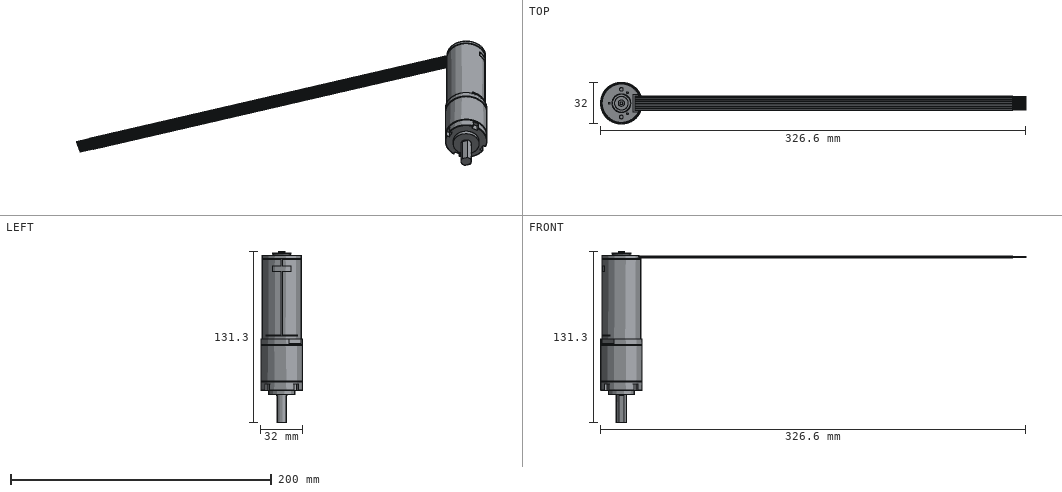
import cadquery as cq
import math


cut_clearance = 1.0

gearhead_radius = 16.0
gearhead_length = 39.7
pilot_radius = 10.0
pilot_height = 3.1
flange_height = 6.9
flange_chamfer = 0.4
adapter_height = 4.5
joint_groove_height = 0.7
joint_groove_depth = 0.2
notch_width = 4.6
notch_depth = 2.5
notch_height = 5.2
notch_angles = (45, 135, 225, 315)
spanner_flat_width = 13.0
spanner_flat_height = 3.6
spanner_flat_angle = 225

shaft_radius = 4.0
shaft_tip_z = -24.6
shaft_round_length = 0.8
shaft_across_flats = 7.0

motor_radius = 15.0
motor_length = 64.1
motor_bottom_z = gearhead_length
motor_top_z = motor_bottom_z + motor_length
cap_thickness = 2.5
can_groove_height = 0.5
cap_bottom_z = motor_top_z - cap_thickness
can_mark_depth = 0.2
can_seam_width = 1.0
can_seam_inset = 2.4
can_seam_bottom_z = motor_bottom_z + can_seam_inset
can_pocket_width = 14.5
can_pocket_height = 4.2
can_pocket_drop = 10.1
can_pocket_z = motor_top_z - can_pocket_drop
can_joint_width = 24.0

boss_radius = 7.2
boss_height = 1.9
boss_recess_radius = 5.2
boss_recess_depth = 0.6
boss_neck_radius = 6.7
boss_rim_height = 0.8
hub_radius = 2.4
hub_height = 2.9
hub_bore_radius = 1.1
hub_bore_depth = 1.0

screw_hole_radius = 1.4
screw_hole_offset = 10.6
pin_hole_radius = 0.7
pin_circle_radius = 9.3
pin_hole_angles = (60, 180, 300)
rear_hole_depth = 2.0

overall_length = 326.6
cable_end_x = overall_length - gearhead_radius
cable_start_x = 10.4
cable_width = 10.9
cable_web_thickness = 0.6
wire_count = 8
wire_diameter = 1.3
wire_pitch = (cable_width - wire_diameter) / (wire_count - 1)
bare_wire_length = 10.5
sleeve_end_x = cable_end_x - bare_wire_length
bare_wire_radius = 0.4
cable_sink = 0.1
cable_slot_depth = 1.8
cable_slot_z = motor_top_z - cable_slot_depth
cable_axis_z = cable_slot_z + wire_diameter / 2 - cable_sink
cable_slot_x = 8.9
cable_slot_width = 13.4


def disc(radius, bottom_z, height):
    """Solid cylinder on the Z axis."""
    return cq.Workplane("XY").workplane(offset=bottom_z).circle(radius).extrude(height)


def block(x_min, x_max, width, z_min, z_max):
    """Box centred on the XZ plane."""
    size = (x_max - x_min, width, z_max - z_min)
    return cq.Workplane("XY").box(*size).translate(((x_min + x_max) / 2, 0, (z_min + z_max) / 2))


def ring_groove(radius, depth, bottom_z, height):
    """Cutter for a groove round a cylinder."""
    cutter = disc(radius + depth, bottom_z, height)
    return cutter.cut(disc(radius - depth, bottom_z, height))


def about_axis(body, angle):
    return body.rotate((0, 0, 0), (0, 0, 1), angle)


def build_shaft():
    """Round shaft with two flats facing -Y and +Y."""
    shaft = disc(shaft_radius, shaft_tip_z, -pilot_height - shaft_tip_z)
    flats_top_z = -pilot_height - shaft_round_length
    round_part = disc(shaft_radius, flats_top_z, shaft_round_length)
    flatted_part = shaft.intersect(
        block(-shaft_radius, shaft_radius, shaft_across_flats, shaft_tip_z, flats_top_z)
    )
    return round_part.union(flatted_part)


def build_gearhead():
    gearhead = disc(gearhead_radius, 0, gearhead_length).faces("<Z").chamfer(flange_chamfer)
    gearhead = gearhead.union(disc(pilot_radius, -pilot_height, pilot_height))
    gearhead = gearhead.union(build_shaft())

    adapter_bottom_z = gearhead_length - adapter_height
    for groove_z in (flange_height, adapter_bottom_z):
        groove_bottom_z = groove_z - joint_groove_height / 2
        gearhead = gearhead.cut(
            ring_groove(gearhead_radius, joint_groove_depth, groove_bottom_z, joint_groove_height)
        )

    notch = block(gearhead_radius - notch_depth, gearhead_radius + cut_clearance, notch_width, 0, notch_height)
    for angle in notch_angles:
        gearhead = gearhead.cut(about_axis(notch, angle))

    flat_distance = math.sqrt(gearhead_radius**2 - (spanner_flat_width / 2) ** 2)
    spanner_flat = block(
        flat_distance,
        gearhead_radius + cut_clearance,
        2 * gearhead_radius,
        gearhead_length - spanner_flat_height,
        gearhead_length,
    )
    return gearhead.cut(about_axis(spanner_flat, spanner_flat_angle))


def cut_can_marks(motor):
    """Groove under the end cap, and the seam, shallow pocket and lower joint on the -X side."""
    cap_groove_z = cap_bottom_z - can_groove_height
    motor = motor.cut(ring_groove(motor_radius, can_mark_depth, cap_groove_z, can_groove_height))

    skin = ring_groove(motor_radius, can_mark_depth, motor_bottom_z, motor_length)
    seam = block(-motor_radius - cut_clearance, 0, can_seam_width, can_seam_bottom_z, cap_bottom_z)
    pocket = block(
        -motor_radius - cut_clearance,
        0,
        can_pocket_width,
        can_pocket_z - can_pocket_height / 2,
        can_pocket_z + can_pocket_height / 2,
    )
    joint = block(
        -motor_radius - cut_clearance,
        0,
        can_joint_width,
        can_seam_bottom_z,
        can_seam_bottom_z + can_groove_height,
    )
    return motor.cut(skin.intersect(seam.union(pocket).union(joint)))


def build_rear_boss():
    neck_height = boss_height - boss_rim_height
    boss = disc(boss_neck_radius, motor_top_z, neck_height)
    boss = boss.union(disc(boss_radius, motor_top_z + neck_height, boss_rim_height))
    recess_z = motor_top_z + boss_height - boss_recess_depth
    boss = boss.cut(disc(boss_recess_radius, recess_z, boss_recess_depth))
    boss = boss.union(disc(hub_radius, motor_top_z, hub_height))
    bore_z = motor_top_z + hub_height - hub_bore_depth
    return boss.cut(disc(hub_bore_radius, bore_z, hub_bore_depth))


def cut_rear_holes(motor):
    hole_z = motor_top_z - rear_hole_depth
    for side in (-1, 1):
        screw_hole = disc(screw_hole_radius, hole_z, rear_hole_depth)
        motor = motor.cut(screw_hole.translate((0, side * screw_hole_offset, 0)))
    for angle in pin_hole_angles:
        pin_hole = disc(pin_hole_radius, hole_z, rear_hole_depth)
        motor = motor.cut(about_axis(pin_hole.translate((pin_circle_radius, 0, 0)), angle))
    return motor


def build_wire(y):
    """One insulated wire with its bare tip."""
    sleeve = (
        cq.Workplane("YZ", origin=(cable_start_x, y, cable_axis_z))
        .circle(wire_diameter / 2)
        .extrude(sleeve_end_x - cable_start_x)
    )
    tip = (
        cq.Workplane("YZ", origin=(sleeve_end_x, y, cable_axis_z))
        .circle(bare_wire_radius)
        .extrude(bare_wire_length)
    )
    return sleeve.union(tip)


def build_cable():
    """Flat row of wires joined by a thin web."""
    wire_row_width = (wire_count - 1) * wire_pitch
    cable = block(
        cable_start_x,
        sleeve_end_x,
        wire_row_width,
        cable_axis_z - cable_web_thickness / 2,
        cable_axis_z + cable_web_thickness / 2,
    )
    for index in range(wire_count):
        cable = cable.union(build_wire(index * wire_pitch - wire_row_width / 2))
    return cable


def build_motor():
    motor = disc(motor_radius, motor_bottom_z, motor_length)
    motor = cut_can_marks(motor)
    motor = motor.union(build_rear_boss())
    motor = cut_rear_holes(motor)
    motor = motor.cut(
        block(cable_slot_x, motor_radius + cut_clearance, cable_slot_width, cable_slot_z, motor_top_z)
    )
    return motor.union(build_cable())


gearhead = build_gearhead()
motor = build_motor()

result = cq.Compound.makeCompound([gearhead.val(), motor.val()])